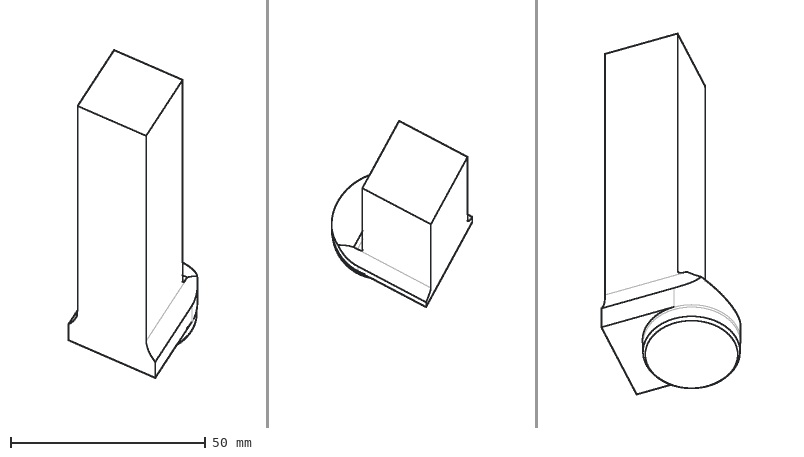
import cadquery as cq
import math

shank_side = 20.0
total_height = 111.3

head_radius = 12.65
head_bottom = 5.3
head_height = 15.0
shoulder_height = head_bottom + head_height
shoulder_depth = 2.5
shoulder_end = shank_side + shoulder_depth
back_fillet = 1.5
ramp_angle = 45.0

flare_radius = 13.0

disc_diameter = 25.0
disc_radius = disc_diameter / 2
disc_chamfer_height = 1.0
disc_chamfer_width = 0.6
collar_height = 0.7

shank_half = shank_side / 2
head_back = shank_side + head_radius


def make_head_column():
    """Full-height column with the plan outline of the head."""
    return (
        cq.Workplane("XY", origin=(0, 0, head_bottom))
        .moveTo(-head_radius, 0)
        .lineTo(head_radius, 0)
        .lineTo(head_radius, shank_side)
        .threePointArc((0, head_back), (-head_radius, shank_side))
        .close()
        .extrude(total_height - head_bottom)
    )


def make_front_profile():
    """Shank and flared head in XZ, extruded along the whole depth."""
    flare_width = head_radius - shank_half
    flare_sweep = math.acos(1 - flare_width / flare_radius)
    flare_bottom = shoulder_height - flare_radius * math.sin(flare_sweep)
    mid_x = shank_half + flare_radius * (1 - math.cos(flare_sweep / 2))
    mid_z = shoulder_height - flare_radius * math.sin(flare_sweep / 2)
    return (
        cq.Workplane("XZ")
        .moveTo(-head_radius, head_bottom)
        .lineTo(head_radius, head_bottom)
        .lineTo(head_radius, flare_bottom)
        .threePointArc((mid_x, mid_z), (shank_half, shoulder_height))
        .lineTo(shank_half, total_height)
        .lineTo(-shank_half, total_height)
        .lineTo(-shank_half, shoulder_height)
        .threePointArc((-mid_x, mid_z), (-head_radius, flare_bottom))
        .close()
        .extrude(-head_back)
    )


def make_side_profile():
    """Shank, filleted shoulder and sloping back in YZ, extruded across the width."""
    ramp_drop = (head_back - shoulder_end) * math.tan(math.radians(ramp_angle))
    fillet_mid = back_fillet * (1 - math.sqrt(0.5))
    return (
        cq.Workplane("YZ")
        .moveTo(0, head_bottom)
        .lineTo(head_back, head_bottom)
        .lineTo(head_back, shoulder_height - ramp_drop)
        .lineTo(shoulder_end, shoulder_height)
        .lineTo(shank_side + back_fillet, shoulder_height)
        .threePointArc(
            (shank_side + fillet_mid, shoulder_height + fillet_mid),
            (shank_side, shoulder_height + back_fillet),
        )
        .lineTo(shank_side, total_height)
        .lineTo(0, total_height)
        .close()
        .extrude(head_radius, both=True)
    )


def make_disc():
    """Chamfered disc with a tapered collar where it meets the head."""
    return (
        cq.Workplane("XZ", origin=(0, shank_side, 0))
        .lineTo(disc_radius - disc_chamfer_width, 0)
        .lineTo(disc_radius, disc_chamfer_height)
        .lineTo(disc_radius, head_bottom - collar_height)
        .lineTo(head_radius, head_bottom)
        .lineTo(0, head_bottom)
        .close()
        .revolve(360, (0, 0, 0), (0, 1, 0))
    )


body = make_head_column().intersect(make_front_profile()).intersect(make_side_profile())
result = body.union(make_disc())